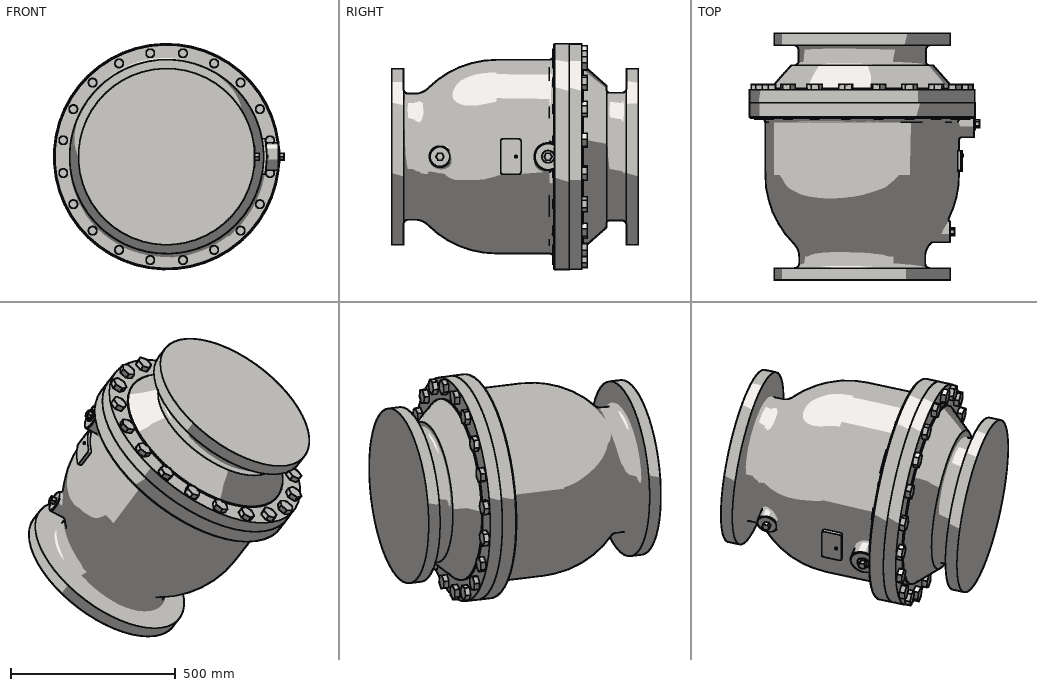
import cadquery as cq
import math

LENGTH = 749.0

END_FLANGE_RADIUS = 267.5
END_FLANGE_THICKNESS = 37.0
NECK_FILLET = 13.5
INLET_NECK_RADIUS = 192.0
OUTLET_NECK_RADIUS = 194.0

BODY_RADIUS = 294.5
SPHERE_CENTRE_Y = 319.0
NECK_BLEND_START_Y = 72.0

JOINT_DIAMETER = 685.5
JOINT_RADIUS = JOINT_DIAMETER / 2
JOINT_FRONT_Y = 491.5
JOINT_SPLIT_Y = 539.0
JOINT_BACK_Y = 578.0
JOINT_CHAMFER = 4.0
JOINT_FILLET = 13.0
COVER_STEP = 0.4

COVER_BASE_RADIUS = 277.0
COVER_TOP_RADIUS = 215.0
COVER_BASE_HEIGHT = 4.5
COVER_TOP_Y = 653.0
COVER_NECK_FILLET = 10.0

BOLT_COUNT = 20
BOLT_CIRCLE_RADIUS = 318.0
BOLT_DIAMETER = 25.5
BOLT_PROTRUSION = 3.0
BOLT_HEAD_ACROSS_CORNERS = 46.5
BOLT_HEAD_HEIGHT = 16.5

UPPER_BOSS_Y = 475.0
UPPER_BOSS_RADIUS = 42.0
UPPER_BOSS_END_X = 341.0
LOWER_BOSS_Y = 147.0
LOWER_BOSS_RADIUS = 32.0
LOWER_BOSS_END_X = 267.5
BOSS_CHAMFER = 2.0
BOSS_FILLET = 7.5
COLLAR_RADIUS = 19.0
COLLAR_HEIGHT = 2.0
PLUG_ACROSS_CORNERS = 24.0
PLUG_HEIGHT = 13.5

PLATE_WIDTH = 108.0
PLATE_LENGTH = 62.0
PLATE_CENTRE_Y = 362.0
PLATE_THICKNESS = 10.0
PLATE_CORNER_RADIUS = 7.5
STUD_Y = 378.0
STUD_RADIUS = 4.0
STUD_HEIGHT = 3.0


def fillet_corner(x, y, radius, x_side, y_side):
    """Start, middle and end of a concave quarter arc at a square inner corner.

    The arc starts on the wall parallel to Y and ends on the face parallel to X;
    x_side and y_side point from the corner towards the arc centre.
    """
    centre_x = x + x_side * radius
    centre_y = y + y_side * radius
    diagonal = radius * math.sqrt(0.5)
    start = (x, centre_y)
    middle = (centre_x - x_side * diagonal, centre_y - y_side * diagonal)
    end = (centre_x, y)
    return start, middle, end


def revolved_shell():
    """Solid of revolution with flanges, necks, body, joint and cover."""
    rise = SPHERE_CENTRE_Y - NECK_BLEND_START_Y
    neck_inset = BODY_RADIUS - INLET_NECK_RADIUS
    blend_radius = (INLET_NECK_RADIUS**2 + rise**2 - BODY_RADIUS**2) / (2 * neck_inset)
    blend_centre_x = INLET_NECK_RADIUS + blend_radius
    blend_angle = math.atan2(rise, blend_centre_x)
    blend_end = (
        BODY_RADIUS * math.cos(blend_angle),
        SPHERE_CENTRE_Y - BODY_RADIUS * math.sin(blend_angle),
    )
    blend_middle = (
        blend_centre_x - blend_radius * math.cos(blend_angle / 2),
        NECK_BLEND_START_Y + blend_radius * math.sin(blend_angle / 2),
    )
    sphere_middle = (
        BODY_RADIUS * math.cos(blend_angle / 2),
        SPHERE_CENTRE_Y - BODY_RADIUS * math.sin(blend_angle / 2),
    )

    outlet_flange_y = LENGTH - END_FLANGE_THICKNESS
    inlet = fillet_corner(INLET_NECK_RADIUS, END_FLANGE_THICKNESS, NECK_FILLET, 1, 1)
    joint = fillet_corner(BODY_RADIUS, JOINT_FRONT_Y, JOINT_FILLET, 1, -1)
    cover = fillet_corner(OUTLET_NECK_RADIUS, COVER_TOP_Y, COVER_NECK_FILLET, 1, 1)
    outlet = fillet_corner(OUTLET_NECK_RADIUS, outlet_flange_y, NECK_FILLET, 1, -1)
    cover_rim_radius = JOINT_RADIUS - COVER_STEP

    profile = (
        cq.Workplane("XY")
        .lineTo(END_FLANGE_RADIUS, 0)
        .lineTo(END_FLANGE_RADIUS, END_FLANGE_THICKNESS)
        .lineTo(*inlet[2])
        .threePointArc(inlet[1], inlet[0])
        .lineTo(INLET_NECK_RADIUS, NECK_BLEND_START_Y)
        .threePointArc(blend_middle, blend_end)
        .threePointArc(sphere_middle, (BODY_RADIUS, SPHERE_CENTRE_Y))
        .lineTo(*joint[0])
        .threePointArc(joint[1], joint[2])
        .lineTo(JOINT_RADIUS - JOINT_CHAMFER, JOINT_FRONT_Y)
        .lineTo(JOINT_RADIUS, JOINT_FRONT_Y + JOINT_CHAMFER)
        .lineTo(JOINT_RADIUS, JOINT_SPLIT_Y)
        .lineTo(cover_rim_radius, JOINT_SPLIT_Y)
        .lineTo(cover_rim_radius, JOINT_BACK_Y)
        .lineTo(COVER_BASE_RADIUS, JOINT_BACK_Y)
        .lineTo(COVER_BASE_RADIUS, JOINT_BACK_Y + COVER_BASE_HEIGHT)
        .lineTo(COVER_TOP_RADIUS, COVER_TOP_Y)
        .lineTo(*cover[2])
        .threePointArc(cover[1], cover[0])
        .lineTo(*outlet[0])
        .threePointArc(outlet[1], outlet[2])
        .lineTo(END_FLANGE_RADIUS, outlet_flange_y)
        .lineTo(END_FLANGE_RADIUS, LENGTH)
        .lineTo(0, LENGTH)
        .close()
    )
    return profile.revolve(360, (0, 0, 0), (0, 1, 0))


def rod_along_x(y, radius, end_x):
    """Cylinder from the flow axis plane out to end_x."""
    return cq.Workplane("YZ").center(y, 0).circle(radius).extrude(end_x)


def filleted_boss(y, radius, end_x, wall):
    """Boss standing on a piece of body wall, filleted where the two meet."""
    boss = rod_along_x(y, radius, end_x).faces(">X").chamfer(BOSS_CHAMFER)
    return wall.union(boss).edges("%BSPLINE").fillet(BOSS_FILLET)


def plug(y, base_x):
    """Hexagonal plug head, with corners pointing along Y."""
    return (
        cq.Workplane("YZ", origin=(base_x, y, 0))
        .polygon(6, PLUG_ACROSS_CORNERS)
        .extrude(PLUG_HEIGHT)
    )


def joint_bolts():
    """Bolts through the joint: hexagon heads on the cover, ends just past the body side."""
    head = (
        cq.Workplane("XZ", origin=(BOLT_CIRCLE_RADIUS, JOINT_BACK_Y, 0))
        .polygon(6, BOLT_HEAD_ACROSS_CORNERS)
        .extrude(-BOLT_HEAD_HEIGHT)
    )
    shank = (
        cq.Workplane("XZ", origin=(BOLT_CIRCLE_RADIUS, JOINT_FRONT_Y - BOLT_PROTRUSION, 0))
        .circle(BOLT_DIAMETER / 2)
        .extrude(-(JOINT_BACK_Y - JOINT_FRONT_Y + BOLT_PROTRUSION))
    )
    bolt = shank.union(head)
    pitch = 360 / BOLT_COUNT
    bolts = cq.Workplane("XY")
    for index in range(BOLT_COUNT):
        angle = (index + 0.5) * pitch
        bolts = bolts.union(bolt.rotate((0, 0, 0), (0, 1, 0), angle))
    return bolts


def nameplate():
    """Plate wrapped concentrically around the body, with rounded corners and a stud."""
    outer_radius = BODY_RADIUS + PLATE_THICKNESS
    blank = (
        cq.Workplane("YZ")
        .center(PLATE_CENTRE_Y, 0)
        .rect(PLATE_LENGTH, PLATE_WIDTH)
        .extrude(outer_radius)
        .edges("|X")
        .fillet(PLATE_CORNER_RADIUS)
    )
    wrap = cq.Workplane("XZ").circle(outer_radius).extrude(-LENGTH)
    stud = rod_along_x(STUD_Y, STUD_RADIUS, outer_radius + STUD_HEIGHT)
    return blank.intersect(wrap).union(stud)


cylinder_wall = (
    cq.Workplane("XZ", origin=(0, SPHERE_CENTRE_Y, 0))
    .circle(BODY_RADIUS)
    .extrude(SPHERE_CENTRE_Y - JOINT_BACK_Y)
)
sphere_wall = cq.Workplane("XY", origin=(0, SPHERE_CENTRE_Y, 0)).sphere(BODY_RADIUS)
upper_boss = filleted_boss(UPPER_BOSS_Y, UPPER_BOSS_RADIUS, UPPER_BOSS_END_X, cylinder_wall)
lower_boss = filleted_boss(LOWER_BOSS_Y, LOWER_BOSS_RADIUS, LOWER_BOSS_END_X, sphere_wall)
collar_end_x = UPPER_BOSS_END_X + COLLAR_HEIGHT

result = (
    revolved_shell()
    .union(upper_boss)
    .union(lower_boss)
    .union(rod_along_x(UPPER_BOSS_Y, COLLAR_RADIUS, collar_end_x))
    .union(plug(UPPER_BOSS_Y, collar_end_x))
    .union(plug(LOWER_BOSS_Y, LOWER_BOSS_END_X))
    .union(nameplate())
    .union(joint_bolts())
)